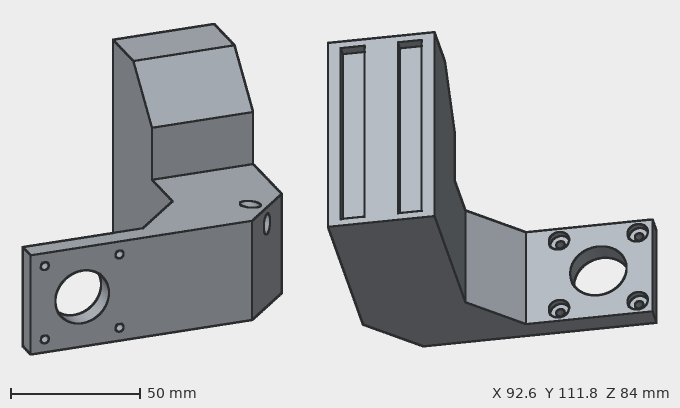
import cadquery as cq
import math

block_width = 42.0
block_height = 84.0
block_length = 42.0
arm_height = 42.0
bevel = 20.0
plate_thickness = 8.6
plate_length = 49.85
inner_straight = 64.0

plate_inner_x = inner_straight + bevel
total_x = plate_inner_x + plate_thickness
total_y = block_width + bevel + plate_length
block_front_y = total_y - block_width

motor_center_y = 21.35
motor_center_z = arm_height / 2
motor_bore_diameter = 22.2
screw_pitch = 31.0
screw_diameter = 3.3
screw_head_diameter = 8.0
screw_head_depth = 3.0

slot_width = 9.4
slot_depth = 4.5
slot_end_margin = 3.0
slot_spacing = 22.5

slanted_hole_diameter = 6.0
slanted_hole_inset = 5.0
slanted_hole_reach = 20.0


def make_arm():
    """L-shaped arm and plate with both corners bevelled."""
    return (
        cq.Workplane("XY")
        .moveTo(0, total_y)
        .lineTo(total_x - bevel, total_y)
        .lineTo(total_x, total_y - bevel)
        .lineTo(total_x, 0)
        .lineTo(plate_inner_x, 0)
        .lineTo(plate_inner_x, plate_length)
        .lineTo(inner_straight, block_front_y)
        .lineTo(0, block_front_y)
        .close()
        .extrude(arm_height)
    )


def make_block():
    """Tall block at the end of the arm, bevelled at its top inner edge."""
    return (
        cq.Workplane("XZ", origin=(0, total_y, 0))
        .lineTo(block_length, 0)
        .lineTo(block_length, block_height - bevel)
        .lineTo(block_length - bevel, block_height)
        .lineTo(0, block_height)
        .close()
        .extrude(block_width)
    )


def make_slots():
    """Two blind upright slots, side by side about the middle of the block."""
    slot_height = block_height - 2 * slot_end_margin
    middle_y = total_y - block_width / 2
    return (
        cq.Workplane("YZ", origin=(0, middle_y, block_height / 2))
        .rarray(slot_spacing, 1, 2, 1)
        .rect(slot_width, slot_height)
        .extrude(slot_depth)
    )


def cut_motor_mount(body):
    """Motor bore and four screw holes, counterbored on the plate's inner face."""
    plate_face = cq.Workplane("YZ", origin=(plate_inner_x, motor_center_y, motor_center_z))
    bore = plate_face.circle(motor_bore_diameter / 2).extrude(plate_thickness)
    screw_places = plate_face.rect(screw_pitch, screw_pitch, forConstruction=True).vertices()
    screws = screw_places.circle(screw_diameter / 2).extrude(plate_thickness)
    heads = screw_places.circle(screw_head_diameter / 2).extrude(screw_head_depth)
    return body.cut(bore).cut(screws).cut(heads)


def make_slanted_hole():
    """Cylinder sloping 45 degrees down, square to the corner bevel in plan."""
    inset = bevel / 2 + slanted_hole_inset
    mouth = cq.Vector(total_x - inset, total_y - inset, arm_height)
    direction = cq.Vector(1, 1, -math.sqrt(2)).normalized()
    start = mouth - direction * slanted_hole_reach
    cylinder = cq.Solid.makeCylinder(slanted_hole_diameter / 2, 2 * slanted_hole_reach, start, direction)
    return cq.Workplane(cylinder)


result = make_arm().union(make_block())
result = result.cut(make_slots())
result = cut_motor_mount(result)
result = result.cut(make_slanted_hole())